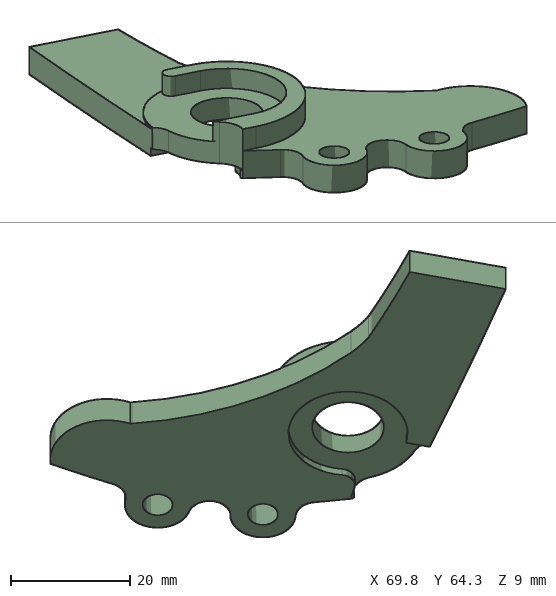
import cadquery as cq
import math


plate_height = 5.0
disc_height = 5.4
fork_height = 9.0
recess_depth = 1.4

pivot_hole_radius = 6.0
disc_radius = 14.0
hub_radius = 12.5
recess_radius = 10.0

fork_inner_radius = 10.0
fork_outer_radius = 13.0
fork_side_radius = 15.0
fork_tip_y = -6.2

ear_radius = 5.5
ear_hole_radius = 2.5
upper_ear = (24.35, 26.7)
lower_ear = (22.3, 9.1)

arm_end_x = -39.9
arm_top_y = -0.55
arm_bottom_y = -17.2
lobe_center = (16.05, 37.6)
lobe_radius = 9.5

mouth_left = (0.3, -14.0)
mouth_right = (fork_side_radius, -4.5)
mouth_bottom_y = -20.95
recess_left_x = -0.2
recess_ledge_y = -4.25
recess_outer_x = 14.6
recess_corner_radius = 2.5


def point_on_circle(center, radius, angle):
    """Point on a circle, with the angle in degrees from +X."""
    turn = math.radians(angle)
    return (center[0] + radius * math.cos(turn), center[1] + radius * math.sin(turn))


def make_plate():
    """Flat lever with the arm, the top lobe and the two ears."""
    lobe_start = point_on_circle(lobe_center, lobe_radius, 190)
    lobe_middle = point_on_circle(lobe_center, lobe_radius, 125)
    lobe_end = point_on_circle(lobe_center, lobe_radius, 70)
    return (
        cq.Workplane("XY")
        .moveTo(arm_end_x, arm_bottom_y)
        .lineTo(arm_end_x, arm_top_y)
        .threePointArc((-30.7, 0.85), (-22.95, 2.3))
        .threePointArc((-20.9, 3.15), (-18.8, 4.25))
        .threePointArc((-3.5, 17.7), (6.6, 35.75))
        .lineTo(*lobe_start)
        .threePointArc(lobe_middle, lobe_end)
        .threePointArc((20.6, 40.1), (21.4, 35.2))
        .threePointArc((22.35, 33.35), point_on_circle(upper_ear, ear_radius, 88))
        .threePointArc(
            point_on_circle(upper_ear, ear_radius, 0),
            point_on_circle(upper_ear, ear_radius, -86),
        )
        .threePointArc((21.3, 17.95), point_on_circle(lower_ear, ear_radius, 80))
        .threePointArc(
            point_on_circle(lower_ear, ear_radius, 0),
            point_on_circle(lower_ear, ear_radius, -99.5),
        )
        .threePointArc((18.65, 3.1), (17.4, 1.4))
        .lineTo(*mouth_right)
        .lineTo(*mouth_left)
        .threePointArc((-19.8, -15.8), (arm_end_x, arm_bottom_y))
        .close()
        .extrude(plate_height)
    )


def make_disc():
    """Low seat disc, narrowed to the fork wall on its +Y side."""
    shoulder_y = -math.sqrt(disc_radius**2 - fork_outer_radius**2)
    return (
        cq.Workplane("XY")
        .moveTo(-fork_outer_radius, shoulder_y)
        .threePointArc((0, -disc_radius), (fork_outer_radius, shoulder_y))
        .lineTo(fork_outer_radius, 0)
        .threePointArc((0, fork_outer_radius), (-fork_outer_radius, 0))
        .close()
        .extrude(disc_height)
    )


def make_fork():
    """Hooked wall: a rounded tip on the -X side and a wide leg on the +X side."""
    side_center = (0, fork_outer_radius - fork_side_radius)
    tip_radius = (fork_outer_radius - fork_inner_radius) / 2
    tip_center = (-fork_inner_radius - tip_radius, fork_tip_y + tip_radius)
    return (
        cq.Workplane("XY", origin=(0, 0, recess_depth))
        .moveTo(-fork_outer_radius, tip_center[1])
        .lineTo(-fork_outer_radius, 0)
        .threePointArc(point_on_circle((0, 0), fork_outer_radius, 135), (0, fork_outer_radius))
        .threePointArc(
            point_on_circle(side_center, fork_side_radius, 45),
            (fork_side_radius, side_center[1]),
        )
        .lineTo(*mouth_right)
        .lineTo(fork_inner_radius, mouth_left[1])
        .lineTo(fork_inner_radius, 0)
        .threePointArc((0, fork_inner_radius), (-fork_inner_radius, 0))
        .lineTo(-fork_inner_radius, tip_center[1])
        .threePointArc((tip_center[0], fork_tip_y), (-fork_outer_radius, tip_center[1]))
        .close()
        .extrude(fork_height - recess_depth)
    )


def make_mouth():
    """Cutter that opens the plate down to the round hub wall."""
    return (
        cq.Workplane("XY", origin=(0, 0, recess_depth))
        .moveTo(*mouth_left)
        .threePointArc((1.25, -12.85), point_on_circle((0, 0), hub_radius, -78))
        .threePointArc(
            point_on_circle((0, 0), hub_radius, -58),
            point_on_circle((0, 0), hub_radius, -32),
        )
        .threePointArc((12.4, -4.9), mouth_right)
        .lineTo(mouth_right[0], mouth_bottom_y)
        .lineTo(mouth_left[0], mouth_bottom_y)
        .close()
        .extrude(fork_height)
    )


def make_recess():
    """Underside cutter: a circle around the pivot that runs out through the mouth."""
    corner_y = recess_ledge_y + recess_corner_radius
    reach = recess_radius + recess_corner_radius
    corner_center = (math.sqrt(reach**2 - corner_y**2), corner_y)
    contact_angle = math.degrees(math.atan2(corner_y, corner_center[0]))
    contact = point_on_circle((0, 0), recess_radius, contact_angle)
    left_y = -math.sqrt(recess_radius**2 - recess_left_x**2)
    corner_middle_angle = (180 + contact_angle + 270) / 2
    return (
        cq.Workplane("XY")
        .moveTo(recess_left_x, mouth_bottom_y)
        .lineTo(recess_left_x, left_y)
        .threePointArc(point_on_circle((0, 0), recess_radius, 135), contact)
        .threePointArc(
            point_on_circle(corner_center, recess_corner_radius, corner_middle_angle),
            (corner_center[0], recess_ledge_y),
        )
        .lineTo(recess_outer_x, recess_ledge_y)
        .lineTo(recess_outer_x, mouth_bottom_y)
        .close()
        .extrude(recess_depth)
    )


def make_holes():
    """Cutters for the pivot hole and the two ear holes."""
    pivot = cq.Workplane("XY").circle(pivot_hole_radius).extrude(fork_height)
    ears = cq.Workplane("XY").pushPoints([upper_ear, lower_ear]).circle(ear_hole_radius)
    return pivot.union(ears.extrude(plate_height))


body = make_plate().union(make_disc()).union(make_fork())
result = body.cut(make_mouth()).cut(make_recess()).cut(make_holes())